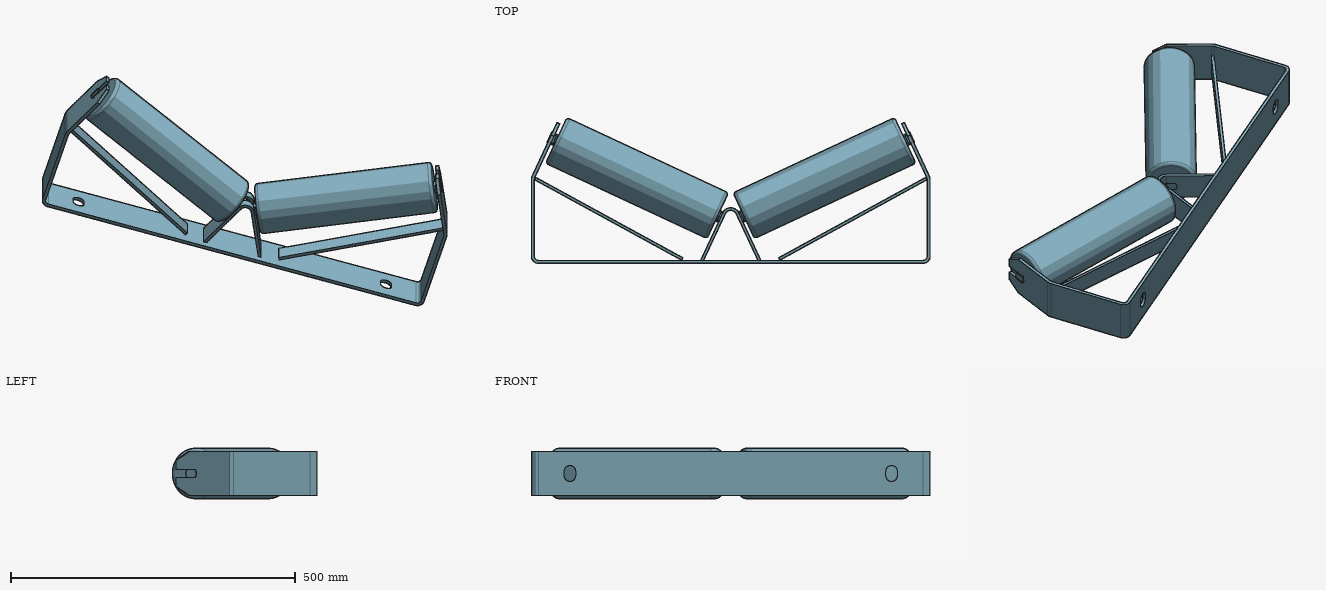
import cadquery as cq
import math

length = 700.0
frame_width = 78.0
plate = 5.5
tilt = math.radians(25)
bend_height = 150.5
corner_radius = 12.5
bend_radius = 17.0
arm_length = 107.0
arm_chamfer_along = 24.5
arm_chamfer_across = 15.5
mount_slot_width = 20.0
mount_slot_height = 28.0
mount_slot_x = 282.0

bracket_width = 50.0
bracket_plate = 5.0
bracket_apex = 119.0
apex_radius = 15.5

brace_width = 33.5
brace_plate = 5.0
brace_end_x = 86.0

drum_diameter = 89.0
drum_length = 313.0
drum_fillet = 5.5
roller_x = 164.5
roller_y = 150.0
spindle_diameter = 20.0
spindle_flats = 14.0
spindle_overhang = 1.5
shoulder_length = 3.0

half_length = length / 2
spindle_radius = spindle_diameter / 2
half_flats = spindle_flats / 2
flat_corner = math.sqrt(spindle_radius**2 - half_flats**2)
cos_tilt = math.cos(tilt)
sin_tilt = math.sin(tilt)
inner_bend_height = bend_height - plate * math.tan(tilt / 2)


def roller_plane(side):
    """Plane at a drum centre: local x is Z, local y runs up the arm, normal points outward."""
    return cq.Plane(
        origin=(side * roller_x, roller_y, 0),
        xDir=(0, 0, -side),
        normal=(side * cos_tilt, sin_tilt, 0),
    )


def distance_from_drum_centre(x, y):
    """Distance of a point from the left drum centre, measured outward along its axis."""
    return -(x + roller_x) * cos_tilt + (y - roller_y) * sin_tilt


arm_face = distance_from_drum_centre(-half_length, bend_height) - plate
bracket_face = -distance_from_drum_centre(0, bracket_apex)


def along_arm(x, y):
    """Height of a point on the left side above the spindle axis, measured along the arm."""
    return (x + roller_x) * sin_tilt + (y - roller_y) * cos_tilt


def round_bend(body, x, y, radius):
    return body.edges("|Z").edges(cq.NearestToPointSelector((x, y, 0))).fillet(radius)


def seat_slot(side, start, depth):
    """Cutter for an open spindle slot, starting a given distance outward from the drum centre."""
    reach = drum_diameter
    return (
        cq.Workplane(roller_plane(side))
        .workplane(offset=start)
        .moveTo(-half_flats, reach)
        .lineTo(-half_flats, -flat_corner)
        .threePointArc((0, -spindle_radius), (half_flats, -flat_corner))
        .lineTo(half_flats, reach)
        .close()
        .extrude(depth)
    )


def arm_corner_cuts(side, tip):
    """Cutters that chamfer both corners of an arm tip."""
    cuts = cq.Workplane(roller_plane(side)).workplane(offset=arm_face - plate)
    half_width = frame_width / 2
    for edge in (-1, 1):
        cuts = cuts.polyline([
            (edge * half_width, tip),
            (edge * (half_width - arm_chamfer_across), tip),
            (edge * half_width, tip - arm_chamfer_along),
        ]).close()
    return cuts.extrude(3 * plate)


def make_frame():
    tip_x = -half_length + arm_length * sin_tilt
    tip_y = bend_height + arm_length * cos_tilt
    left_outer = [(tip_x, tip_y), (-half_length, bend_height), (-half_length, 0)]
    left_inner = [
        (-half_length + plate, plate),
        (-half_length + plate, inner_bend_height),
        (tip_x + plate * cos_tilt, tip_y - plate * sin_tilt),
    ]
    right_outer = [(-x, y) for x, y in reversed(left_outer)]
    right_inner = [(-x, y) for x, y in reversed(left_inner)]
    frame = (
        cq.Workplane("XY")
        .polyline(left_outer + right_outer + right_inner + left_inner)
        .close()
        .extrude(frame_width / 2, both=True)
    )
    for side in (-1, 1):
        frame = round_bend(frame, side * half_length, 0, corner_radius)
        frame = round_bend(frame, side * half_length, bend_height, bend_radius)
        frame = round_bend(frame, side * (half_length - plate), plate, corner_radius - plate)
        frame = round_bend(frame, side * (half_length - plate), inner_bend_height, bend_radius - plate)
        frame = frame.cut(arm_corner_cuts(side, along_arm(tip_x, tip_y)))
        frame = frame.cut(seat_slot(side, arm_face - plate, 3 * plate))
    mounting_slots = (
        cq.Workplane("XZ")
        .pushPoints([(-mount_slot_x, 0), (mount_slot_x, 0)])
        .slot2D(mount_slot_height, mount_slot_width, 90)
        .extrude(-plate)
    )
    return frame.cut(mounting_slots)


def wedge(apex, radius):
    """Triangular prism standing on the base plate, with a rounded apex."""
    half_base = (apex - plate) * math.tan(tilt)
    prism = (
        cq.Workplane("XY")
        .polyline([(-half_base, plate), (0, apex), (half_base, plate)])
        .close()
        .extrude(bracket_width / 2, both=True)
    )
    return round_bend(prism, 0, apex, radius)


def make_bracket():
    inner_apex = bracket_apex - bracket_plate / sin_tilt
    bracket = wedge(bracket_apex, apex_radius).cut(wedge(inner_apex, apex_radius - bracket_plate))
    for side in (-1, 1):
        bracket = bracket.cut(seat_slot(side, -bracket_face - 2 * bracket_plate, 2 * bracket_plate))
    return bracket


def make_brace(side):
    """Flat bar from the foot of the upper bend down to the base plate."""
    high_x = -half_length + plate
    high_y = bend_height - bend_radius * math.tan(tilt / 2)
    run = -brace_end_x - high_x
    drop = high_y - plate
    bar_length = math.hypot(run, drop)
    shift_x = brace_plate * drop / bar_length
    shift_y = brace_plate * run / bar_length
    outline = [
        (high_x, high_y),
        (-brace_end_x, plate),
        (-brace_end_x + shift_x, plate + shift_y),
        (high_x + shift_x, high_y + shift_y),
    ]
    return (
        cq.Workplane("XY")
        .polyline([(-side * x, y) for x, y in outline])
        .close()
        .extrude(brace_width / 2, both=True)
    )


def make_roller(side):
    """Drum on a round spindle, flatted to sit in the slots and flush inside the bracket."""
    plane = roller_plane(side)
    drum = (
        cq.Workplane(plane)
        .workplane(offset=-drum_length / 2)
        .circle(drum_diameter / 2)
        .extrude(drum_length)
        .edges("%CIRCLE")
        .fillet(drum_fillet)
    )
    shoulders = (
        cq.Workplane(plane)
        .circle(spindle_radius)
        .extrude(drum_length / 2 + shoulder_length, both=True)
    )
    inner_end = bracket_face + bracket_plate
    outer_end = arm_face + plate + spindle_overhang
    flatted_spindle = (
        cq.Workplane(plane)
        .workplane(offset=-inner_end)
        .moveTo(-half_flats, -flat_corner)
        .threePointArc((0, -spindle_radius), (half_flats, -flat_corner))
        .lineTo(half_flats, flat_corner)
        .threePointArc((0, spindle_radius), (-half_flats, flat_corner))
        .close()
        .extrude(inner_end + outer_end)
    )
    return drum.union(shoulders).union(flatted_spindle)


frame = make_frame()
bracket = make_bracket()
braces = [make_brace(side) for side in (-1, 1)]
rollers = [make_roller(side) for side in (-1, 1)]

result = cq.Compound.makeCompound([
    frame.val(),
    bracket.val(),
    *[brace.val() for brace in braces],
    *[roller.val() for roller in rollers],
])